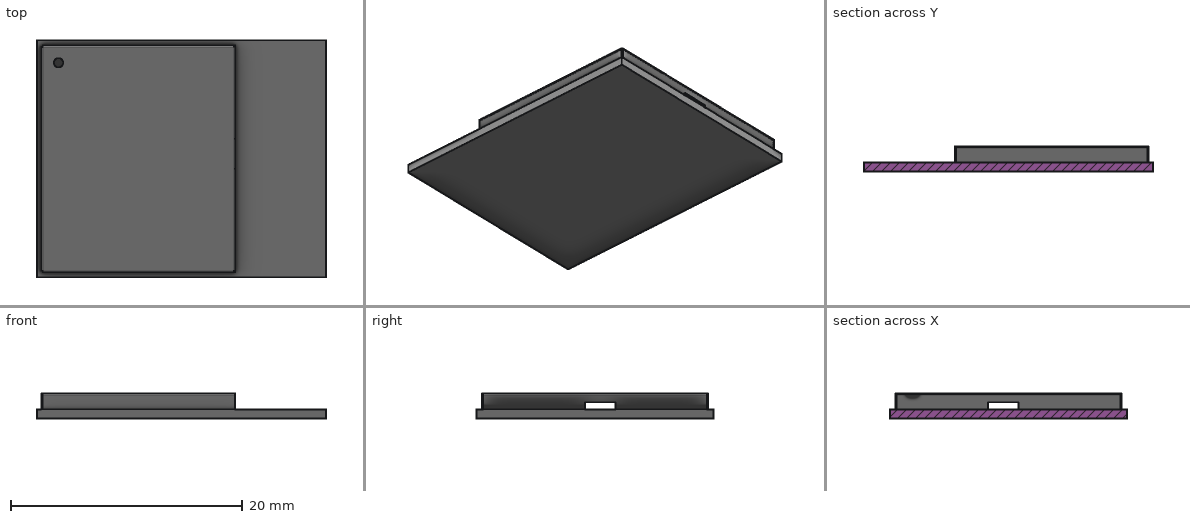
import cadquery as cq

board_length = 25.0
board_width = 20.5
board_thickness = 0.8

total_height = 2.2
shield_height = total_height - board_thickness
shield_left = 0.38
shield_right = 17.12
shield_side_gap = 0.45
shield_length = shield_right - shield_left
shield_width = board_width - 2 * shield_side_gap
sheet_thickness = 0.1
bend_radius = 0.12
inner_bend_radius = bend_radius - sheet_thickness

roof_length = shield_length - 2 * bend_radius
roof_width = shield_width - 2 * bend_radius

notch_width = 2.6
notch_height = 0.6
notch_center_y = 0.45

hole_diameter = 0.8
hole_from_left = 1.88
hole_from_back = 1.95


def make_board():
    return cq.Workplane("XY").box(board_length, board_width, board_thickness, centered=(False, True, False))


def make_roof():
    return (
        cq.Workplane("XY", origin=(bend_radius, 0, shield_height - sheet_thickness))
        .box(roof_length, roof_width, sheet_thickness, centered=(False, True, False))
    )


def make_bent_wall(length):
    """Wall running from X = 0 to length, outer face on Y = 0, with a quarter bend toward +Y at its top."""
    bend_start = shield_height - bend_radius
    roof_underside = shield_height - sheet_thickness
    return (
        cq.Workplane("YZ")
        .lineTo(0, bend_start)
        .radiusArc((bend_radius, shield_height), bend_radius)
        .lineTo(bend_radius, roof_underside)
        .radiusArc((sheet_thickness, bend_start), -inner_bend_radius)
        .lineTo(sheet_thickness, 0)
        .close()
        .extrude(length)
    )


def make_walls():
    """Four walls: front and back cover the right corners, and the left corners stay open."""
    front = make_bent_wall(shield_length - bend_radius).translate((bend_radius, -shield_width / 2, 0))
    back = front.mirror("XZ")
    left = (
        make_bent_wall(roof_width)
        .rotate((0, 0, 0), (0, 0, 1), -90)
        .translate((0, roof_width / 2, 0))
    )
    right = left.mirror("YZ").translate((shield_length, 0, 0))
    return [front, back, left, right]


def make_notch_cutter():
    return (
        cq.Workplane("XY", origin=(0, notch_center_y, 0))
        .box(shield_length, notch_width, notch_height, centered=(False, True, False))
    )


def make_hole_cutter():
    hole_x = hole_from_left - shield_left
    hole_y = board_width / 2 - hole_from_back
    return (
        cq.Workplane("XY", origin=(hole_x, hole_y, shield_height - sheet_thickness))
        .circle(hole_diameter / 2)
        .extrude(sheet_thickness)
    )


def make_shield():
    shield = make_roof()
    for wall in make_walls():
        shield = shield.union(wall)
    shield = shield.cut(make_notch_cutter()).cut(make_hole_cutter())
    return shield.translate((shield_left, 0, board_thickness))


board = make_board()
shield = make_shield()

result = cq.Compound.makeCompound([board.val(), shield.solids().val()])